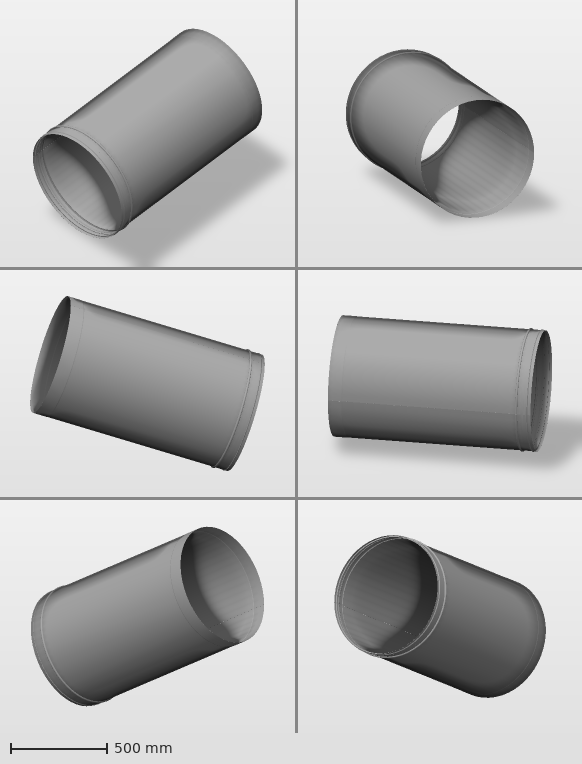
import cadquery as cq
import math

LENGTH = 1070.0
BORE_RADIUS = 630.6 / 2
DUCT_RADIUS = 631.6 / 2
SHEET = DUCT_RADIUS - BORE_RADIUS
SOCKET_CLEARANCE = 0.5
SOCKET_BORE_RADIUS = DUCT_RADIUS + SOCKET_CLEARANCE
SOCKET_RADIUS = SOCKET_BORE_RADIUS + SHEET
BEAD_RADIUS = 644.6 / 2
SLIT_WIDTH = 0.4

FRONT_GROOVE_START = 15.5
FRONT_GROOVE_END = 29.0
REAR_GROOVE_START = 40.5
REAR_GROOVE_END = 48.5
REAR_GROOVE_FLANK = 4.5
BEAD_START = 70.5
BEAD_END = 83.0
SOCKET_LENGTH = 71.0
TAPER_LENGTH = 4.0
TAPER_START = LENGTH - SOCKET_LENGTH - TAPER_LENGTH
SOCKET_START = LENGTH - SOCKET_LENGTH

FRONT_GROOVE_DEPTH = 5.5
REAR_FLOOR_RADIUS = 627.0 / 2
FRONT_FLOOR_RADIUS = DUCT_RADIUS - FRONT_GROOVE_DEPTH
LIP_RADIUS = 319.5
LIP_TIP = 19.0
LIP_BACK = 20.5

MALE_END = -LENGTH / 2


def revolve_about_axis(section, angle=360.0):
    """Turn a closed section, drawn as radius against axial position, into a ring about Y.

    A ring of less than a full turn is left open at the -X side.
    """
    return (
        section.close()
        .revolve(angle, (0, 0, 0), (0, 1, 0))
        .rotate((0, 0, 0), (0, 1, 0), 180 + (360 - angle) / 2)
        .translate((0, MALE_END, 0))
    )


def make_duct():
    """Rolled sheet duct: grooved male end, stop bead, taper and socket, slit along -X."""
    bead_middle = (BEAD_START + BEAD_END) / 2
    section = (
        cq.Workplane("XY")
        .moveTo(DUCT_RADIUS, 0)
        .lineTo(DUCT_RADIUS, FRONT_GROOVE_START)
        .lineTo(FRONT_FLOOR_RADIUS, FRONT_GROOVE_START)
        .lineTo(FRONT_FLOOR_RADIUS, FRONT_GROOVE_END)
        .lineTo(DUCT_RADIUS, FRONT_GROOVE_END)
        .lineTo(DUCT_RADIUS, REAR_GROOVE_START)
        .lineTo(REAR_FLOOR_RADIUS, REAR_GROOVE_START)
        .lineTo(REAR_FLOOR_RADIUS, REAR_GROOVE_END)
        .lineTo(DUCT_RADIUS, REAR_GROOVE_END + REAR_GROOVE_FLANK)
        .lineTo(DUCT_RADIUS, BEAD_START)
        .threePointArc((BEAD_RADIUS, bead_middle), (DUCT_RADIUS, BEAD_END))
        .lineTo(DUCT_RADIUS, TAPER_START)
        .lineTo(SOCKET_RADIUS, SOCKET_START)
        .lineTo(SOCKET_RADIUS, LENGTH)
        .lineTo(SOCKET_BORE_RADIUS, LENGTH)
        .lineTo(SOCKET_BORE_RADIUS, SOCKET_START)
        .lineTo(BORE_RADIUS, TAPER_START)
        .lineTo(BORE_RADIUS, BEAD_END - SHEET)
        .threePointArc((BEAD_RADIUS - SHEET, bead_middle), (BORE_RADIUS, BEAD_START + SHEET))
        .lineTo(BORE_RADIUS, REAR_GROOVE_END + SHEET + REAR_GROOVE_FLANK)
        .lineTo(REAR_FLOOR_RADIUS - SHEET, REAR_GROOVE_END + SHEET)
        .lineTo(REAR_FLOOR_RADIUS - SHEET, REAR_GROOVE_START - SHEET)
        .lineTo(BORE_RADIUS, REAR_GROOVE_START - SHEET)
        .lineTo(BORE_RADIUS, FRONT_GROOVE_END + SHEET)
        .lineTo(FRONT_FLOOR_RADIUS - SHEET, FRONT_GROOVE_END + SHEET)
        .lineTo(FRONT_FLOOR_RADIUS - SHEET, FRONT_GROOVE_START - SHEET)
        .lineTo(BORE_RADIUS, FRONT_GROOVE_START - SHEET)
        .lineTo(BORE_RADIUS, 0)
    )
    slit_angle = math.degrees(SLIT_WIDTH / DUCT_RADIUS)
    return revolve_about_axis(section, 360 - slit_angle)


def make_front_seal():
    """Seal that fills the front groove and carries one raised lip."""
    section = (
        cq.Workplane("XY")
        .moveTo(FRONT_FLOOR_RADIUS, FRONT_GROOVE_START)
        .lineTo(DUCT_RADIUS, FRONT_GROOVE_START)
        .lineTo(LIP_RADIUS, LIP_TIP)
        .lineTo(DUCT_RADIUS, LIP_BACK)
        .lineTo(DUCT_RADIUS, FRONT_GROOVE_END)
        .lineTo(FRONT_FLOOR_RADIUS, FRONT_GROOVE_END)
    )
    return revolve_about_axis(section)


def make_rear_seal():
    """Seal that fills the rear groove and lies flush with the duct."""
    section = (
        cq.Workplane("XY")
        .moveTo(REAR_FLOOR_RADIUS, REAR_GROOVE_START)
        .lineTo(DUCT_RADIUS, REAR_GROOVE_START)
        .lineTo(DUCT_RADIUS, REAR_GROOVE_END + REAR_GROOVE_FLANK)
        .lineTo(REAR_FLOOR_RADIUS, REAR_GROOVE_END)
    )
    return revolve_about_axis(section)


duct = make_duct()
front_seal = make_front_seal()
rear_seal = make_rear_seal()
result = cq.Compound.makeCompound([duct.val(), front_seal.val(), rear_seal.val()])